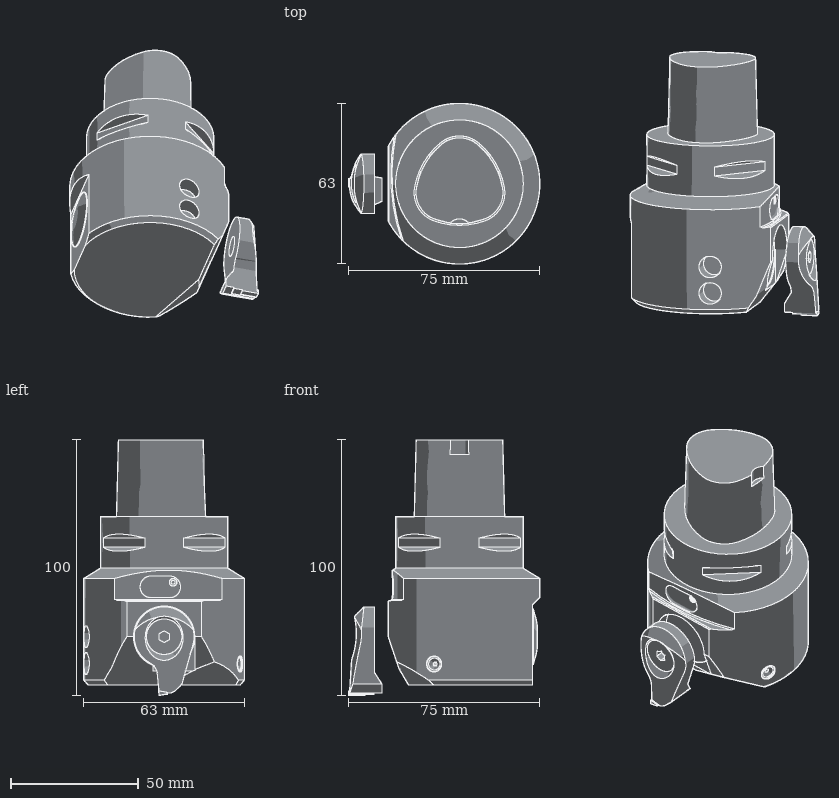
import cadquery as cq
import math


clearance = 5.0

head_radius = 31.5
collar_radius = 25.0
collar_bottom = 45.8
shoulder_bottom = 41.8
collar_top = 66.0
shank_height = 30.0
shank_top = collar_top + shank_height
end_chamfer_width = 1.8
end_chamfer_height = 2.0

lobe_reach = 18.7
flat_reach = 16.3
lobe_center = 7.0
shank_taper = 0.75
key_diameter = 9.5
key_center_y = -18.5
key_depth = 5.7

groove_middle = 55.8
groove_floor_height = 3.5
groove_floor_distance = 22.2
groove_flank_angle = 30.0

axis_z = 19.0
tool_face = 27.9
tool_face_top_chamfer = 0.4
upper_slope_angle = 18.5
slope_break = 6.5
lower_slope_end = 19.9
corner_cut_point = (-24.5, -19.4, 9.0)
corner_cut_turn = 20.0
corner_cut_tilt = 50.0
seat_diameter = 24.0
seat_depth = 5.1
slot_floor = 23.2
slot_left = 4.3

recess_radius = 79.0
recess_center = (52.6, 3.7)
recess_bottom = 33.1
recess_fillet = 0.5
window_length = 15.8
window_height = 8.5
window_y = 1.5
window_z = 38.5
window_floor = 25.1
window_floor_fillet = 0.4
dial_y = -3.5
dial_z = 40.3
dial_diameter = 3.0
dial_recess = 0.4
dial_step_diameter = 2.8
dial_hole_diameter = 1.5
dial_hole_depth = 1.0

back_face = 28.6
back_face_top = 31.5
cap_radius = 10.9
cap_rim = 0.3
cap_top_radius = 4.3
cap_height = 1.9
cap_flank_height = 1.2
cap_flank_radius = 8.0

nozzle_x = -10.0
nozzle_z = 8.3
nozzle_mouth_diameter = 6.2
nozzle_bore_diameter = 6.0
nozzle_mouth_depth = 0.5
nozzle_cone_diameter = 4.7
nozzle_jet_diameter = 1.5
nozzle_cone_depth = 0.9
nozzle_jet_depth = 2.0
side_hole_x = -7.4
side_hole_diameter = 8.5
side_hole_heights = (axis_z, 8.5)
side_hole_floor_y = 24.0

lever_back = -33.2
lever_radius = 11.7
lever_front_limit = -45.0
crown_radius = 22.0
crown_top = (-41.2, 27.1)
crown_tilt = 3.5
bevel_center_z = 17.6
bevel_radius = 13.1
bevel_start = -37.4
arm_taper_angle = 15.6
arm_left = 2.3
arm_left_lean = 0.2
neck_start_y = 5.8
neck_middle = (3.8, 7.2)
neck_end = (2.8, 5.3)
arm_corner = (-4.2, -2.3)
arm_bottom_right = -2.6
arm_bottom = -3.1
toe_back = -30.3
toe_start_z = 5.0
toe_full_z = 0.4
tip_front = -43.5
tip_back = -37.0
tip_top = -2.2
tip_bottom = -4.0
tip_edge_end = (0.5, -3.8)
tip_right = -1.3
tip_right_bottom = -3.4
tip_right_top = -2.8
tip_seat_back = -33.5
tip_seat_bottom = -3.6

screw_face = -40.0
screw_head_diameter = 13.9
screw_head_height = 4.0
screw_shank_diameter = 8.0
hex_across_flats = 4.0
hex_depth = 3.0


def polar(radius, degrees):
    """Point at a polar angle measured from +X."""
    angle = math.radians(degrees)
    return (radius * math.cos(angle), radius * math.sin(angle))


def x_cylinder(diameter, x_start, x_end, y=0.0, z=axis_z):
    """Cylinder along X between two x positions."""
    start = cq.Vector(x_start, y, z)
    return cq.Workplane(cq.Solid.makeCylinder(diameter / 2, x_end - x_start, start, cq.Vector(1, 0, 0)))


def box(x_range, y_range, z_range):
    """Box given by its limits along each axis."""
    sizes = [high - low for low, high in (x_range, y_range, z_range)]
    corner = (x_range[0], y_range[0], z_range[0])
    return cq.Workplane().box(*sizes, centered=False).translate(corner)


def turned_blank():
    profile = [
        (0, 0),
        (head_radius - end_chamfer_width, 0),
        (head_radius, end_chamfer_height),
        (head_radius, shoulder_bottom),
        (collar_radius, collar_bottom),
        (collar_radius, collar_top),
        (0, collar_top),
    ]
    return cq.Workplane("XZ").polyline(profile).close().revolve(360, (0, 0, 0), (0, 1, 0))


def lobe_wire(height, inset):
    """Closed outline of three lobe arcs and three flatter arcs that meet tangentially."""
    reach_gap = lobe_reach - flat_reach
    flat_center = reach_gap * (2 * lobe_center - reach_gap) / (lobe_center - 2 * reach_gap)
    direction_x = lobe_center + flat_center * math.cos(math.radians(60))
    direction_y = flat_center * math.sin(math.radians(60))
    normal_angle = math.atan2(direction_y, direction_x)
    lobe_radius = lobe_reach - lobe_center - inset
    joint_x = lobe_center + lobe_radius * math.cos(normal_angle)
    joint_y = lobe_radius * math.sin(normal_angle)
    joint_radius = math.hypot(joint_x, joint_y)
    joint_angle = math.degrees(math.atan2(joint_y, joint_x))
    outline = cq.Workplane("XY", origin=(0, 0, height)).moveTo(*polar(joint_radius, 90 - joint_angle))
    for lobe_angle in (90, 210, 330):
        lobe_tip = polar(lobe_reach - inset, lobe_angle)
        lobe_end = polar(joint_radius, lobe_angle + joint_angle)
        flat_middle = polar(flat_reach - inset, lobe_angle + 60)
        flat_end = polar(joint_radius, lobe_angle + 120 - joint_angle)
        outline = outline.threePointArc(lobe_tip, lobe_end).threePointArc(flat_middle, flat_end)
    return outline.close().val()


def shank():
    wires = [lobe_wire(collar_top, 0), lobe_wire(shank_top, shank_taper)]
    body = cq.Workplane(cq.Solid.makeLoft(wires, True))
    key_floor = cq.Workplane("XY", origin=(0, key_center_y, shank_top - key_depth))
    return body.cut(key_floor.circle(key_diameter / 2).extrude(key_depth))


def gripper_grooves():
    """Four straight grooves with sloping flanks, 45 degrees from the X and Y axes."""
    outer = collar_radius + clearance
    flare = (outer - groove_floor_distance) * math.tan(math.radians(groove_flank_angle))
    half_floor = groove_floor_height / 2
    profile = [
        (groove_floor_distance, groove_middle - half_floor),
        (outer, groove_middle - half_floor - flare),
        (outer, groove_middle + half_floor + flare),
        (groove_floor_distance, groove_middle + half_floor),
    ]
    groove = cq.Workplane("XZ").polyline(profile).close().extrude(collar_radius, both=True)
    grooves = cq.Workplane()
    for angle in range(45, 360, 90):
        grooves = grooves.add(groove.rotate((0, 0, 0), (0, 0, 1), angle))
    return grooves.combine()


def tool_side_cut():
    """Everything outside the upright tool face and the two slopes below it."""
    outer = head_radius + clearance
    slope_run = (axis_z - slope_break) * math.tan(math.radians(upper_slope_angle))
    profile = [
        (-outer, recess_bottom),
        (-tool_face + tool_face_top_chamfer, recess_bottom),
        (-tool_face, recess_bottom - tool_face_top_chamfer),
        (-tool_face, axis_z),
        (-tool_face + slope_run, slope_break),
        (-lower_slope_end, 0),
        (-outer, 0),
    ]
    return cq.Workplane("XZ").polyline(profile).close().extrude(outer, both=True)


def corner_cut():
    """Half space outside the oblique plane at the lower (-X, -Y) corner."""
    turn = math.radians(corner_cut_turn)
    tilt = math.radians(corner_cut_tilt)
    normal = (-math.cos(tilt) * math.cos(turn), -math.cos(tilt) * math.sin(turn), -math.sin(tilt))
    plane = cq.Plane(corner_cut_point, (math.sin(turn), -math.cos(turn), 0), normal)
    return cq.Workplane(plane).rect(4 * head_radius, 4 * head_radius).extrude(head_radius)


def lever_seat():
    """Round seat for the lever, with a lower slot that runs out through the slopes."""
    seat = x_cylinder(seat_diameter, -head_radius, -tool_face + seat_depth)
    slot = box((-head_radius, -slot_floor), (-seat_diameter / 2, slot_left), (0, axis_z))
    return seat.union(slot)


def scale_recess():
    """Outside of a large upright cylinder, above a filleted floor."""
    height = collar_bottom - recess_bottom
    half = head_radius + clearance
    stock = box((-half, 0), (-half, half), (recess_bottom, collar_bottom))
    barrel = cq.Workplane("XY", origin=(*recess_center, recess_bottom)).circle(recess_radius)
    fillet_tool = (
        cq.Workplane("XZ", origin=(*recess_center, recess_bottom))
        .moveTo(-recess_radius, 0)
        .lineTo(-recess_radius - recess_fillet, 0)
        .radiusArc((-recess_radius, recess_fillet), recess_fillet)
        .close()
        .revolve(360, (0, 0, 0), (0, 1, 0))
    )
    return stock.cut(barrel.extrude(height)).cut(fillet_tool)


def scale_window():
    window = (
        cq.Workplane("YZ", origin=(-window_floor, window_y, window_z))
        .slot2D(window_length, window_height)
        .extrude(window_floor - head_radius)
        .faces(">X")
        .edges()
        .fillet(window_floor_fillet)
    )
    dial_floor = -window_floor + dial_recess
    dial = x_cylinder(dial_diameter, -head_radius, dial_floor, dial_y, dial_z)
    step = x_cylinder(dial_step_diameter, -head_radius, dial_floor + dial_recess, dial_y, dial_z)
    hole = x_cylinder(dial_hole_diameter, -head_radius, dial_floor + dial_hole_depth, dial_y, dial_z)
    return window.union(dial).union(step).union(hole)


def back_side_cut():
    """Back face with a 45 degree run-out at its upper end."""
    outer = head_radius + clearance
    profile = [
        (back_face, 0),
        (outer, 0),
        (outer, back_face_top + outer - back_face),
        (back_face, back_face_top),
    ]
    return cq.Workplane("XZ").polyline(profile).close().extrude(outer, both=True)


def back_cap():
    """Low round cap on the back face, with a rounded flank."""
    rim_x = back_face + cap_rim
    top_x = back_face + cap_height
    flank = (back_face + cap_flank_height, cap_flank_radius)
    return (
        cq.Workplane("XY", origin=(0, 0, axis_z))
        .moveTo(back_face, 0)
        .lineTo(back_face, cap_radius)
        .lineTo(rim_x, cap_radius)
        .threePointArc(flank, (top_x, cap_top_radius))
        .lineTo(top_x, 0)
        .close()
        .revolve(360, (0, 0, 0), (1, 0, 0))
    )


def nozzle_hole():
    """Radial hole: a stepped round mouth that narrows through a cone to a small jet hole."""
    bore_ledge = head_radius - nozzle_mouth_depth / 2
    bore_floor = head_radius - nozzle_mouth_depth
    cone_floor = bore_floor - nozzle_cone_depth
    jet_floor = cone_floor - nozzle_jet_depth
    profile = [
        (0, head_radius),
        (nozzle_mouth_diameter / 2, head_radius),
        (nozzle_mouth_diameter / 2, bore_ledge),
        (nozzle_bore_diameter / 2, bore_ledge),
        (nozzle_bore_diameter / 2, bore_floor),
        (nozzle_cone_diameter / 2, bore_floor),
        (nozzle_jet_diameter / 2, cone_floor),
        (nozzle_jet_diameter / 2, jet_floor),
        (0, jet_floor),
    ]
    cutter = cq.Workplane("XY").polyline(profile).close().revolve(360, (0, 0, 0), (0, 1, 0))
    turn = 180 + math.degrees(math.asin(nozzle_x / head_radius))
    return cutter.rotate((0, 0, 0), (0, 0, 1), turn).translate((0, 0, nozzle_z))


def side_holes():
    holes = cq.Workplane()
    length = head_radius - side_hole_floor_y
    for height in side_hole_heights:
        start = cq.Vector(side_hole_x, side_hole_floor_y, height)
        holes = holes.add(cq.Solid.makeCylinder(side_hole_diameter / 2, length, start, cq.Vector(0, 1, 0)))
    return holes.combine()


def make_housing():
    body = turned_blank().union(shank())
    cutters = (
        gripper_grooves(),
        tool_side_cut(),
        corner_cut(),
        lever_seat(),
        scale_recess(),
        scale_window(),
        back_side_cut(),
        nozzle_hole(),
        side_holes(),
    )
    for cutter in cutters:
        body = body.cut(cutter)
    return body.union(back_cap())


def lever_outline():
    """Disc that runs into a tapering arm, drawn in the YZ plane."""
    taper = math.radians(arm_taper_angle)
    tangent_y = -lever_radius * math.cos(taper)
    tangent_z = axis_z - lever_radius * math.sin(taper)
    arm_right = tangent_y + (tangent_z - toe_full_z) * math.tan(taper)
    neck_start_z = axis_z - math.sqrt(lever_radius**2 - neck_start_y**2)
    return (
        cq.Workplane("YZ", origin=(lever_front_limit, 0, 0))
        .moveTo(tangent_y, tangent_z)
        .threePointArc((0, axis_z + lever_radius), (neck_start_y, neck_start_z))
        .threePointArc(neck_middle, neck_end)
        .lineTo(arm_left, toe_full_z)
        .lineTo(arm_left - arm_left_lean, arm_bottom)
        .lineTo(arm_bottom_right, arm_bottom)
        .lineTo(*arm_corner)
        .lineTo(arm_right, toe_full_z)
        .close()
    )


def lever_side_profile():
    """Side shape of the lever: upright back, with a toe that reaches back at the lower end."""
    top = axis_z + lever_radius + clearance
    bottom = arm_bottom - clearance
    profile = [
        (lever_front_limit, top),
        (lever_back, top),
        (lever_back, toe_start_z),
        (toe_back, toe_full_z),
        (toe_back, bottom),
        (lever_front_limit, bottom),
    ]
    return cq.Workplane("XZ").polyline(profile).close().extrude(2 * lever_radius, both=True)


def lever_crown():
    """Leaning cylinder whose surface is the rounded front of the lever."""
    lean = math.radians(crown_tilt)
    axis = cq.Vector(math.sin(lean), 0, math.cos(lean))
    reach = 2 * crown_radius
    middle = cq.Vector(crown_top[0] + crown_radius, 0, crown_top[1])
    return cq.Workplane(cq.Solid.makeCylinder(crown_radius, 2 * reach, middle - axis * reach, axis))


def lever_bevel():
    """Material outside a 45 degree cone, above the disc axis."""
    depth = bevel_start - lever_front_limit
    ring = 2 * lever_radius
    stock = box((lever_front_limit, bevel_start), (-ring, ring), (axis_z, axis_z + ring))
    center = cq.Vector(bevel_start, 0, bevel_center_z)
    cone = cq.Solid.makeCone(bevel_radius, bevel_radius - depth, depth, center, cq.Vector(-1, 0, 0))
    return stock.cut(cq.Workplane(cone))


def screw_pocket():
    """45 degree funnel in front of the screw head, and the bores for its head and shank."""
    narrow = screw_head_diameter / 2
    depth = screw_face - lever_front_limit
    start = cq.Vector(screw_face, 0, axis_z)
    funnel = cq.Solid.makeCone(narrow, narrow + depth, depth, start, cq.Vector(-1, 0, 0))
    return cq.Workplane(funnel).union(screw_blank())


def cutting_tip():
    """Small cutting tip on the lower end of the arm."""
    left = arm_left - arm_left_lean
    profile = [
        (left, tip_top),
        (left, tip_bottom),
        tip_edge_end,
        (tip_right, tip_right_bottom),
        (tip_right, tip_right_top),
    ]
    blank = cq.Workplane("YZ", origin=(tip_front, 0, 0)).polyline(profile).close()
    return blank.extrude(tip_back - tip_front)


def tip_seat():
    """Narrow rib below the arm that backs the cutting tip."""
    width = (tip_right, arm_left - arm_left_lean)
    return box((tip_back, tip_seat_back), width, (tip_seat_bottom, tip_top))


def make_lever():
    length = toe_back - lever_front_limit
    body = lever_outline().extrude(length)
    body = body.intersect(lever_side_profile()).intersect(lever_crown())
    return body.cut(lever_bevel()).cut(screw_pocket()).union(cutting_tip()).union(tip_seat())


def screw_blank():
    """Stepped screw shape without its drive socket."""
    head_back = screw_face + screw_head_height
    head = x_cylinder(screw_head_diameter, screw_face, head_back)
    return head.union(x_cylinder(screw_shank_diameter, head_back, lever_back))


def make_screw():
    socket = (
        cq.Workplane("YZ", origin=(screw_face, 0, axis_z))
        .transformed(rotate=(0, 0, 90))
        .polygon(6, hex_across_flats / math.cos(math.radians(30)))
        .extrude(hex_depth)
    )
    return screw_blank().cut(socket)


housing = make_housing()
lever = make_lever()
screw = make_screw()

result = cq.Compound.makeCompound([housing.val(), lever.val(), screw.val()])